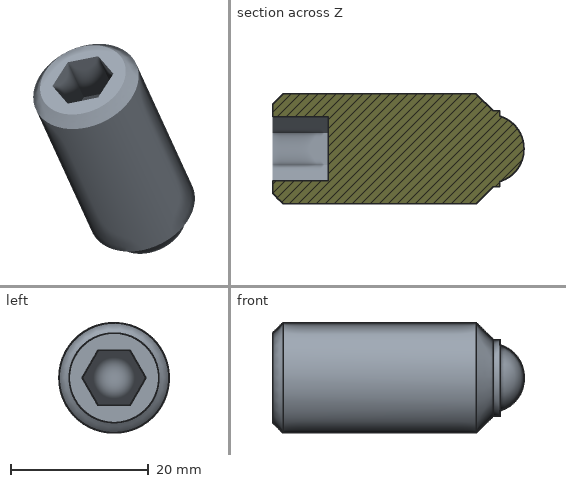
import cadquery as cq
import math

body_diameter = 16.0
body_radius = body_diameter / 2
overall_length = 36.5

socket_end_chamfer = 1.5
collar_length = 1.0
collar_end = 33.0
collar_start = collar_end - collar_length
nose_cone_length = 2.5
nose_cone_start = collar_start - nose_cone_length
collar_radius = 5.55

ball_diameter = 10.0
ball_radius = ball_diameter / 2
ball_center = overall_length - ball_radius

hex_across_flats = 8.0
hex_across_corners = hex_across_flats / math.cos(math.pi / 6)
hex_depth = 8.0


def turned_body():
    """Solid of revolution: chamfered cylinder, nose cone, collar and protruding ball."""
    ball_edge_radius = math.sqrt(ball_radius**2 - (collar_end - ball_center) ** 2)
    arc_middle = ball_radius * math.sqrt(0.5)
    profile = (
        cq.Workplane("XY")
        .moveTo(0, 0)
        .lineTo(0, body_radius - socket_end_chamfer)
        .lineTo(socket_end_chamfer, body_radius)
        .lineTo(nose_cone_start, body_radius)
        .lineTo(collar_start, collar_radius)
        .lineTo(collar_end, collar_radius)
        .lineTo(collar_end, ball_edge_radius)
        .threePointArc((ball_center + arc_middle, arc_middle), (overall_length, 0))
        .close()
    )
    return profile.revolve(360, (0, 0, 0), (1, 0, 0))


def hex_socket():
    """Hexagonal key socket with corners on the Y axis."""
    return cq.Workplane("YZ").polygon(6, hex_across_corners).extrude(hex_depth)


result = turned_body().cut(hex_socket())